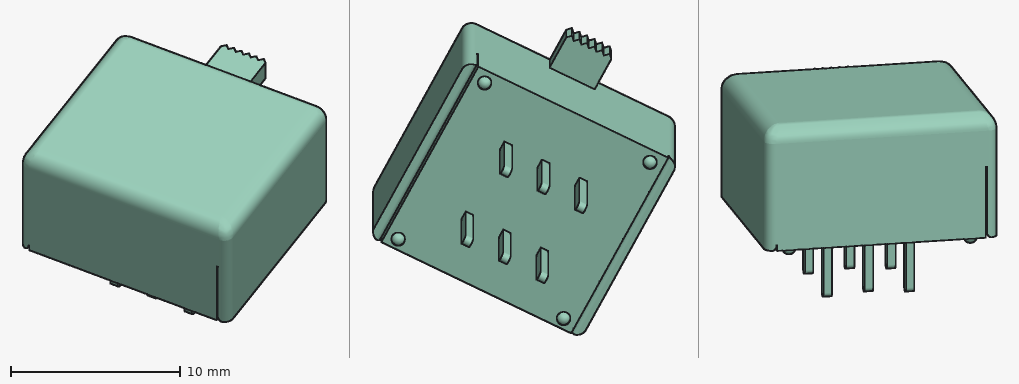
import cadquery as cq
import math


case_x = 14.1
case_y = 12.55
case_z = 7.6
corner_radius = 0.6
top_radius = 1.0

front_wall = 0.3
relief_radius = 0.3
left_flap_x = -6.37
left_lip_x = -6.43
left_relief_height = 0.33
right_flap_x = 6.26
right_lip_x = 6.35
right_relief_height = 2.02
front_slot_height = 4.37

slider_width = 3.0
slider_reach = 2.4
slider_offset_x = 0.03
slider_thickness = 1.27
slider_drop = 0.94
tooth_count = 6
tooth_pitch = slider_width / tooth_count
tooth_depth = tooth_pitch / 2

overall_z = 11.69
terminal_length = overall_z - case_z
middle_shortening = 0.16
terminal_width = 0.51
terminal_thickness = 0.6
terminal_embedding = 0.3
terminal_pitch = 2.5
row_pitch = 5.0

base_offset_x = -0.03
base_offset_y = -0.05

foot_radius = 0.4
foot_drop = 0.03
foot_pitch_x = 11.0
foot_pitch_y = 11.15


def make_case():
    """Block with rounded upright and top edges and a flat underside."""
    block = cq.Workplane("XY").box(case_x, case_y, case_z, centered=(True, True, False))
    return block.edges("|Z").fillet(corner_radius).faces(">Z").edges().fillet(top_radius)


def make_relief(flap_x, lip_x, height, depth):
    """Slot going in from the front, with the outer lip rounded at the bottom."""
    side = math.copysign(1, lip_x)
    round_end_x = lip_x + side * relief_radius
    arc_inset = relief_radius * (1 - math.sqrt(0.5))
    return (
        cq.Workplane("XZ", origin=(0, -case_y / 2, 0))
        .moveTo(flap_x, 0)
        .lineTo(flap_x, height)
        .lineTo(lip_x, height)
        .lineTo(lip_x, relief_radius)
        .threePointArc((lip_x + side * arc_inset, arc_inset), (round_end_x, 0))
        .close()
        .extrude(-depth)
    )


def make_slider():
    """Flat bar sticking out of the back, ending in 90-degree teeth."""
    valley_y = case_y / 2 + slider_reach - tooth_depth
    left_x = -slider_width / 2
    outline = [(-left_x, 0), (left_x, 0), (left_x, valley_y)]
    for tooth in range(tooth_count):
        start_x = left_x + tooth * tooth_pitch
        outline.append((start_x + tooth_pitch / 2, valley_y + tooth_depth))
        outline.append((start_x + tooth_pitch, valley_y))
    bottom_z = case_z - slider_drop - slider_thickness
    plane = cq.Workplane("XY", origin=(slider_offset_x, 0, bottom_z))
    return plane.polyline(outline).close().extrude(slider_thickness)


def make_terminal(x, y, length):
    """Flat pin hanging from the case, with a fully rounded tip."""
    tip_radius = terminal_thickness / 2
    return (
        cq.Workplane("YZ", origin=(x - terminal_width / 2, y, 0))
        .moveTo(-tip_radius, terminal_embedding)
        .lineTo(-tip_radius, tip_radius - length)
        .threePointArc((0, -length), (tip_radius, tip_radius - length))
        .lineTo(tip_radius, terminal_embedding)
        .close()
        .extrude(terminal_width)
    )


def make_foot(x, y):
    """Ball set slightly more than half proud of the underside."""
    return cq.Workplane("XY", origin=(x, y, -foot_drop)).sphere(foot_radius)


result = make_case()
result = result.cut(make_relief(left_flap_x, left_lip_x, left_relief_height, case_y))
result = result.cut(make_relief(right_flap_x, right_lip_x, right_relief_height, case_y))
result = result.cut(make_relief(right_flap_x, right_lip_x, front_slot_height, front_wall))
result = result.union(make_slider())

for row in (-1, 1):
    terminal_y = base_offset_y + row * row_pitch / 2
    foot_y = base_offset_y + row * foot_pitch_y / 2
    for column in (-1, 0, 1):
        terminal_x = base_offset_x + column * terminal_pitch
        shortening = middle_shortening if column == 0 else 0
        result = result.union(make_terminal(terminal_x, terminal_y, terminal_length - shortening))
    for column in (-1, 1):
        result = result.union(make_foot(base_offset_x + column * foot_pitch_x / 2, foot_y))